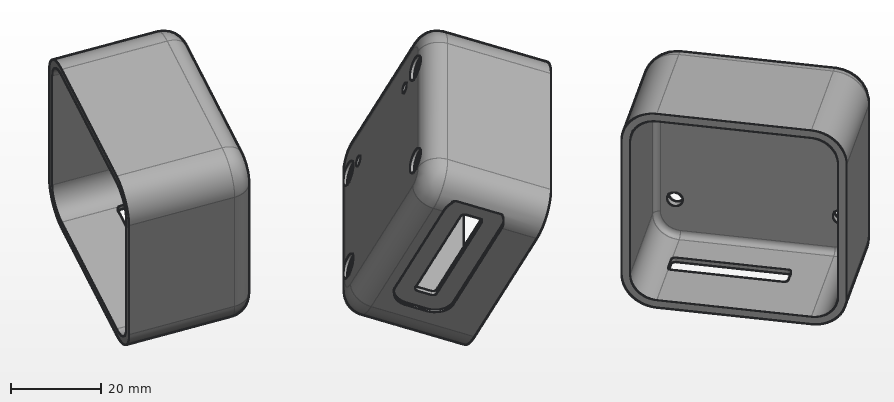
import cadquery as cq

side = 51.0
depth = 30.0
wall = 2.0
back_wall = 3.0
corner_radius = 8.0
back_edge_radius = 5.0
inner_edge_radius = 1.5

large_hole_diameter = 3.5
large_hole_counterbore_diameter = 5.8
large_hole_counterbore_depth = 0.95
large_hole_x = 18.75
large_hole_z = 13.95
small_hole_diameter = 2.5
small_hole_x = 13.0
small_hole_offset = 0.15
small_hole_z = 13.0

slot_length = 27.15
slot_width = 5.1
slot_radius = 0.9
recess_margin = 4.5
recess_radius = 4.5
recess_depth = 0.75
opening_x = -4.1
opening_y = 0.55

front_y = -depth / 2
back_y = depth / 2
bottom_z = -side / 2


def rounded_block(size_x, size_y, height, radius):
    """Upright block with its base on z = 0 and rounded vertical edges."""
    return cq.Workplane("XY").box(size_x, size_y, height, centered=(True, True, False)).edges("|Z").fillet(radius)


def facing_back(block):
    """Turn an upright block so that its base lies on the open front and its top faces +Y."""
    return block.rotate((0, 0, 0), (1, 0, 0), -90).translate((0, front_y, 0))


def back_holes(diameter, length, points):
    """Round cutters that run from the outside of the back wall inward by the given length."""
    start = cq.Workplane("XZ", origin=(0, back_y, 0))
    return start.pushPoints(points).circle(diameter / 2).extrude(length)


def make_shell():
    outer = rounded_block(side, side, depth, corner_radius).faces(">Z").edges().fillet(back_edge_radius)
    inner_side = side - 2 * wall
    cavity = rounded_block(inner_side, inner_side, depth - back_wall, corner_radius - wall)
    cavity = cavity.faces(">Z").edges().fillet(inner_edge_radius)
    return facing_back(outer).cut(facing_back(cavity))


def make_connector_opening():
    slot = rounded_block(slot_length, slot_width, 2 * wall, slot_radius)
    recess_length = slot_length + 2 * recess_margin
    recess_width = slot_width + 2 * recess_margin
    recess = rounded_block(recess_length, recess_width, recess_depth, recess_radius)
    return slot.union(recess).translate((opening_x, opening_y, bottom_z))


large_hole_points = [(x, z) for x in (-large_hole_x, large_hole_x) for z in (-large_hole_z, large_hole_z)]
small_hole_points = [(small_hole_offset + x, small_hole_z) for x in (-small_hole_x, small_hole_x)]

result = (
    make_shell()
    .cut(back_holes(large_hole_diameter, back_wall, large_hole_points))
    .cut(back_holes(large_hole_counterbore_diameter, large_hole_counterbore_depth, large_hole_points))
    .cut(back_holes(small_hole_diameter, back_wall, small_hole_points))
    .cut(make_connector_opening())
)